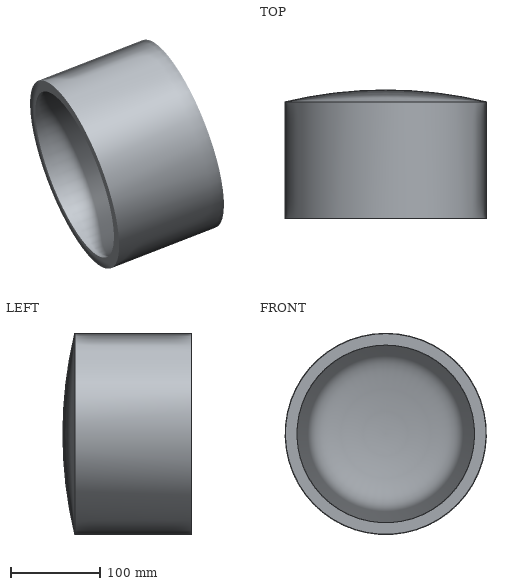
import cadquery as cq
import math

outer_radius = 225.0 / 2
wall = 13.2
inner_radius = outer_radius - wall
total_length = 144.0

outer_dome_height = 13.35
inner_dome_height = 11.0
outer_straight_length = total_length - outer_dome_height
inner_straight_length = 120.2


def dome_ended_cylinder(radius, straight_length, dome_height):
    """Solid cylinder from Y = 0 with a spherical dome beyond its straight length."""
    sphere_radius = (radius**2 + dome_height**2) / (2 * dome_height)
    apex = straight_length + dome_height
    sphere_center = apex - sphere_radius
    half_radius = radius / 2
    arc_middle = sphere_center + math.sqrt(sphere_radius**2 - half_radius**2)
    profile = (
        cq.Workplane("YZ")
        .moveTo(0, 0)
        .lineTo(0, radius)
        .lineTo(straight_length, radius)
        .threePointArc((arc_middle, half_radius), (apex, 0))
        .close()
    )
    return profile.revolve(360, (0, 0, 0), (1, 0, 0))


outer_body = dome_ended_cylinder(outer_radius, outer_straight_length, outer_dome_height)
cavity = dome_ended_cylinder(inner_radius, inner_straight_length, inner_dome_height)
result = outer_body.cut(cavity)